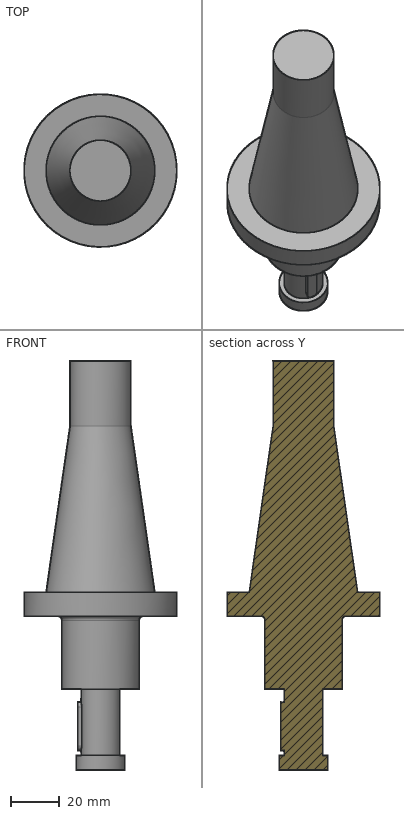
import cadquery as cq

total_height = 168.4
head_top = 6.0
collar_bottom = 33.3
flange_bottom = 63.3
flange_top = 73.3
taper_top = 141.8

head_diameter = 20.0
shaft_diameter = 16.0
collar_diameter = 32.0
flange_diameter = 63.0
taper_base_diameter = 44.8
shank_diameter = 25.1
collar_fillet = 1.5

key_length = 20.0
key_width = 4.0
key_bottom = 8.0
key_reach = 9.5


def cylinder(diameter, bottom, top):
    return cq.Workplane("XY").workplane(offset=bottom).circle(diameter / 2).extrude(top - bottom)


def make_taper():
    return (
        cq.Workplane("XY")
        .workplane(offset=flange_top)
        .circle(taper_base_diameter / 2)
        .workplane(offset=taper_top - flange_top)
        .circle(shank_diameter / 2)
        .loft(ruled=True)
    )


def make_collar_and_flange():
    flange = cylinder(flange_diameter, flange_bottom, flange_top)
    collar = cylinder(collar_diameter, collar_bottom, flange_bottom)
    inner_corner = cq.selectors.RadiusNthSelector(0)
    collar_rim = flange.union(collar).faces("<Z[1]").edges(inner_corner)
    return collar_rim.fillet(collar_fillet)


def make_key():
    return (
        cq.Workplane("YZ")
        .center(0, key_bottom + key_length / 2)
        .slot2D(key_length, key_width, 90)
        .extrude(-key_reach)
    )


result = (
    cylinder(head_diameter, 0, head_top)
    .union(cylinder(shaft_diameter, head_top, collar_bottom))
    .union(make_collar_and_flange())
    .union(make_taper())
    .union(cylinder(shank_diameter, taper_top, total_height))
    .union(make_key())
)